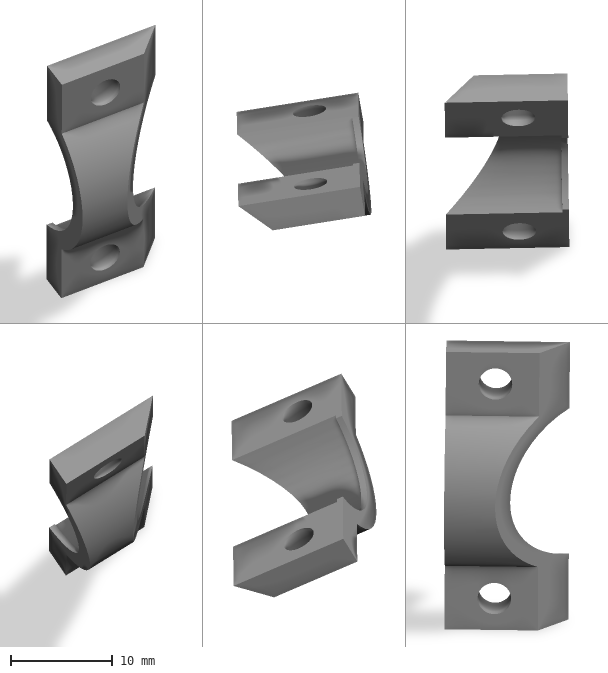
import cadquery as cq
import math

height = 29.4
flange_thickness = 3.05
arch_rise = 7.37
outer_radius = 9.5
bore_radius = 8.0
lip_radius = 7.5
lip_length = 0.65
hole_diameter = 3.3
hole_spacing = 22.73
hole_inset = 4.9
part_width = 8.73
turn_angle = 44.0
lean_angle = 0.4

axis_offset = outer_radius - arch_rise
blank_length = 2 * part_width / math.cos(math.radians(turn_angle))


def axial_cylinder(radius, start, length):
    """Cylinder along the bore axis."""
    return (
        cq.Workplane("YZ", origin=(start, axis_offset, 0))
        .circle(radius)
        .extrude(length)
    )


def clamp_blank():
    """Flange plate and arch, trimmed at the parting face."""
    plate = cq.Workplane("XY").box(
        blank_length, flange_thickness, height, centered=(False, False, True)
    ).translate((0, -flange_thickness, 0))
    behind_parting_face = cq.Workplane("XY").box(
        blank_length, 2 * outer_radius, height, centered=(False, False, True)
    )
    arch = axial_cylinder(outer_radius, 0, blank_length).cut(behind_parting_face)
    return plate.union(arch)


def bolt_holes():
    """Through holes square to the flanges."""
    return (
        cq.Workplane("XZ")
        .pushPoints([(hole_inset, side * hole_spacing / 2) for side in (-1, 1)])
        .circle(hole_diameter / 2)
        .extrude(flange_thickness)
    )


def mitre_cutter():
    """Everything beyond the plane X = part_width."""
    size = 2 * blank_length
    return cq.Workplane("XY").box(size, size, size, centered=(False, True, True)).translate(
        (part_width, 0, 0)
    )


clamp = (
    clamp_blank()
    .cut(axial_cylinder(lip_radius, 0, lip_length))
    .cut(axial_cylinder(bore_radius, lip_length, blank_length))
    .cut(bolt_holes())
)

result = (
    clamp.rotate((0, 0, 0), (0, 0, 1), turn_angle)
    .rotate((0, 0, 0), (1, 0, 0), -lean_angle)
    .cut(mitre_cutter())
)